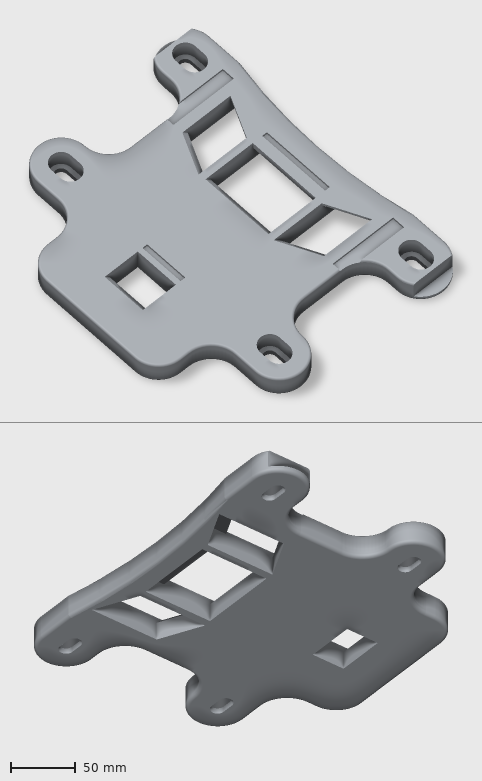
import cadquery as cq
import math

THICKNESS = 21.0
LENGTH = 250.0
REAR_Y = LENGTH / 2
FRONT_Y = -LENGTH / 2
CORNER_R = 25.0
EAR_WIDTH = 2 * CORNER_R
REAR_EAR_X = 132.8
REAR_EAR_Y = REAR_Y - CORNER_R
FRONT_EAR_X = 123.0
FRONT_EAR_Y = REAR_Y - 165.8
WAIST_X = 98.0
TAIL_X = 75.0
REAR_DIP = 10.0
TOP_FILLET = 2.0
BOTTOM_FILLET = 3.0

STEP_X = 147.0
STEP_Z = 5.0

SLOT_TRAVEL = 10.5
SLOT_WIDTH = 12.0
COUNTERBORE_WIDTH = 20.5
COUNTERBORE_FLOOR_Z = 5.0
SLOT_INSET = 5.0

BEVEL = 5.0
UNDERCUT = 18.0
MID_LIP = 6.0
SIDE_LIP = 2.5
MID_WINDOW_HALF = 35.5
MID_WINDOW_REAR_Y = REAR_Y - 45.0
MID_WINDOW_LENGTH = 50.0
SIDE_WINDOW_INNER_X = 42.5
SIDE_WINDOW_OUTER_X = 80.0
SIDE_WINDOW_LENGTH = 51.0
SIDE_WINDOW_RISE = 18.0
TAIL_WINDOW_HALF = 21.5
TAIL_WINDOW_REAR_Y = REAR_Y - 180.0
TAIL_WINDOW_LENGTH = 35.0

RECESS_DEPTH = 2.0
GROOVE_WIDTH = 5.0
GROOVE_OFFSET = 15.0
TAIL_GROOVE_OFFSET = 10.0
SIDE_RECESS_INNER_X = 90.0
SIDE_RECESS_OUTER_X = 102.5
SIDE_RECESS_REAR_Y = REAR_Y - 14.0
SIDE_RECESS_LENGTH = 64.0


def box(x0, x1, y0, y1, z0, z1):
    """Axis-aligned block between two opposite corners."""
    return cq.Workplane("XY").box(x1 - x0, y1 - y0, z1 - z0, centered=False).translate((x0, y0, z0))


def prism(points, z0, z1):
    """Upright prism over a polygon."""
    return cq.Workplane("XY").workplane(offset=z0).polyline(points).close().extrude(z1 - z0)


def plate():
    """Solid plate with rounded top and bottom rims."""
    r = CORNER_R
    d = r * math.sqrt(0.5)
    ear_front = FRONT_EAR_Y - r
    ear_rear = FRONT_EAR_Y + r
    notch_rear = REAR_Y - EAR_WIDTH

    def corner(path, cx, cy, sx, sy, end):
        """Quarter arc about (cx, cy), bulging toward the signs (sx, sy)."""
        return path.threePointArc((cx + sx * d, cy + sy * d), end)

    path = cq.Workplane("XY").moveTo(0, FRONT_Y).lineTo(TAIL_X - r, FRONT_Y)
    path = corner(path, TAIL_X - r, FRONT_Y + r, 1, -1, (TAIL_X, FRONT_Y + r))
    path = path.lineTo(TAIL_X, ear_front - r)
    path = corner(path, TAIL_X + r, ear_front - r, -1, 1, (TAIL_X + r, ear_front))
    path = path.lineTo(FRONT_EAR_X, ear_front)
    path = path.threePointArc((FRONT_EAR_X + r, FRONT_EAR_Y), (FRONT_EAR_X, ear_rear))
    path = corner(path, WAIST_X + r, ear_rear + r, -1, -1, (WAIST_X, ear_rear + r))
    path = path.lineTo(WAIST_X, notch_rear - r)
    path = corner(path, WAIST_X + r, notch_rear - r, -1, 1, (WAIST_X + r, notch_rear))
    path = path.lineTo(REAR_EAR_X, notch_rear)
    path = path.threePointArc((REAR_EAR_X + r, REAR_EAR_Y), (REAR_EAR_X, REAR_Y))
    path = path.lineTo(WAIST_X, REAR_Y)
    rear_radius = (WAIST_X ** 2 + REAR_DIP ** 2) / (2 * REAR_DIP)
    half_x = WAIST_X / 2
    half_y = REAR_Y - REAR_DIP + rear_radius - math.sqrt(rear_radius ** 2 - half_x ** 2)
    path = path.threePointArc((half_x, half_y), (0, REAR_Y - REAR_DIP))
    half = path.close().extrude(THICKNESS)
    body = half.union(half.mirror("YZ")).clean()
    body = body.faces(">Z").edges().fillet(TOP_FILLET)
    return body.faces("<Z").edges().fillet(BOTTOM_FILLET)


def ear_step(side):
    """Cutter lowering the tip of one rear ear to a thin flange."""
    x0, x1 = sorted((side * STEP_X, side * (REAR_EAR_X + CORNER_R)))
    return box(x0, x1, REAR_Y - EAR_WIDTH, REAR_Y, STEP_Z, THICKNESS)


def mounting_slot(x, y):
    """Through slot with a wider counterbore from the top."""
    def slot(width, z0):
        sketch = cq.Workplane("XY").workplane(offset=z0).center(x, y)
        return sketch.slot2D(SLOT_TRAVEL + width, width).extrude(THICKNESS - z0)

    return slot(SLOT_WIDTH, 0).union(slot(COUNTERBORE_WIDTH, COUNTERBORE_FLOOR_Z))


def window(x0, x1, rear0, rear1, length, lip=None):
    """Window between x0 and x1; its rear edge runs from rear0 to rear1.

    The front edge has a bevel at the top. When a lip thickness is given,
    the opening also reaches rearward underneath a lip of that thickness.
    """
    run = cq.Vector(x1 - x0, rear1 - rear0, 0)
    front0 = rear0 - length
    sill0 = front0 + BEVEL * run.Length / abs(x1 - x0)
    sill1 = sill0 + rear1 - rear0
    cutter = prism([(x0, sill0), (x1, sill1), (x1, rear1), (x0, rear0)], 0, THICKNESS)

    bevel_end = cq.Wire.makePolygon([
        cq.Vector(x0, front0, THICKNESS),
        cq.Vector(x0, sill0, THICKNESS),
        cq.Vector(x0, sill0, THICKNESS - BEVEL),
    ], close=True)
    cutter = cutter.union(cq.Workplane(obj=cq.Solid.extrudeLinear(bevel_end, [], run)))

    if lip is not None:
        undercut = [(x0, rear0), (x1, rear1), (x1, rear1 + UNDERCUT), (x0, rear0 + UNDERCUT)]
        cutter = cutter.union(prism(undercut, 0, THICKNESS - lip))
    return cutter


def top_recess(x0, x1, rear_y, length):
    """Shallow rectangular recess in the top face."""
    return box(x0, x1, rear_y - length, rear_y, THICKNESS - RECESS_DEPTH, THICKNESS)


result = plate()
for side in (-1, 1):
    result = result.cut(ear_step(side))
    result = result.cut(mounting_slot(side * (REAR_EAR_X - SLOT_INSET), REAR_EAR_Y))
    result = result.cut(mounting_slot(side * (FRONT_EAR_X - SLOT_INSET), FRONT_EAR_Y))
    result = result.cut(window(
        side * SIDE_WINDOW_INNER_X, side * SIDE_WINDOW_OUTER_X,
        MID_WINDOW_REAR_Y, MID_WINDOW_REAR_Y + SIDE_WINDOW_RISE, SIDE_WINDOW_LENGTH, SIDE_LIP))
    recess_x0, recess_x1 = sorted((side * SIDE_RECESS_INNER_X, side * SIDE_RECESS_OUTER_X))
    result = result.cut(top_recess(recess_x0, recess_x1, SIDE_RECESS_REAR_Y, SIDE_RECESS_LENGTH))

result = result.cut(window(
    -MID_WINDOW_HALF, MID_WINDOW_HALF, MID_WINDOW_REAR_Y, MID_WINDOW_REAR_Y,
    MID_WINDOW_LENGTH, MID_LIP))
result = result.cut(top_recess(
    -MID_WINDOW_HALF, MID_WINDOW_HALF, MID_WINDOW_REAR_Y + GROOVE_OFFSET, GROOVE_WIDTH))
result = result.cut(window(
    -TAIL_WINDOW_HALF, TAIL_WINDOW_HALF, TAIL_WINDOW_REAR_Y, TAIL_WINDOW_REAR_Y, TAIL_WINDOW_LENGTH))
result = result.cut(top_recess(
    -TAIL_WINDOW_HALF, TAIL_WINDOW_HALF, TAIL_WINDOW_REAR_Y + TAIL_GROOVE_OFFSET, GROOVE_WIDTH))